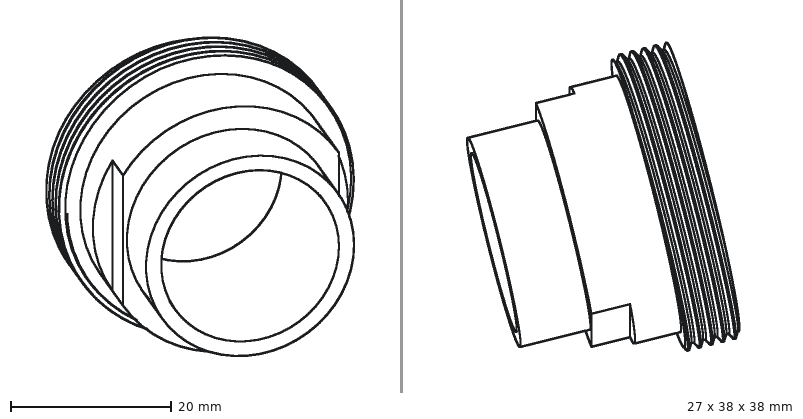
import cadquery as cq
import math

total_length = 27.0
thread_length = 7.1
body_end = 18.0
flat_start = 13.05

thread_radius = 19.0
body_radius = 16.53
neck_radius = 13.5
bore_radius = 11.5
flat_offset = 14.0

four_turn_length = 6.0
pitch = four_turn_length / 4
thread_depth = 0.8
root_width = pitch / 4
flank_angle = math.radians(30)
cutter_overshoot = 0.05
seam_angle = 77


def cylinder(radius, start, end):
    """Solid cylinder about the X axis between two X positions."""
    return cq.Workplane("YZ", origin=(start, 0, 0)).circle(radius).extrude(end - start)


def thread_groove():
    """Helical groove cutter whose root crosses X = 0 on the +Y side."""
    turns = math.ceil(thread_length / pitch) + 2
    root_radius = thread_radius - thread_depth
    mouth_radius = thread_radius + cutter_overshoot
    half_root = root_width / 2
    half_mouth = half_root + (mouth_radius - root_radius) * math.tan(flank_angle)
    profile = [
        (root_radius, -half_root),
        (mouth_radius, -half_mouth),
        (mouth_radius, half_mouth),
        (root_radius, half_root),
    ]
    helices = [
        cq.Wire.makeHelix(pitch, turns * pitch, radius).translate(cq.Vector(0, 0, height - pitch))
        for radius, height in profile
    ]
    faces = []
    for index, helix in enumerate(helices):
        following = helices[(index + 1) % len(helices)]
        faces.extend(cq.Face.makeRuledSurface(helix, following).Faces())
    for end in (0, 1):
        corners = [helix.positionAt(end) for helix in helices]
        faces.append(cq.Face.makeFromWires(cq.Wire.makePolygon(corners, close=True)))
    groove = cq.Solid.makeSolid(cq.Shell.makeShell(faces))
    return groove.moved(cq.Location(cq.Plane.named("YZ")))


def wrench_flat(side):
    """Block that cuts a flat into the +Y (side = 1) or -Y (side = -1) of the body."""
    depth = body_radius - flat_offset
    length = body_end - flat_start
    center = ((flat_start + body_end) / 2, side * (flat_offset + depth / 2), 0)
    return cq.Workplane("XY").box(length, depth, 2 * body_radius).translate(center)


blank = cylinder(thread_radius, 0, thread_length).rotate((0, 0, 0), (1, 0, 0), seam_angle)
flange = blank.cut(cq.Workplane(obj=thread_groove()))

body = cylinder(body_radius, 0, body_end)
for side in (-1, 1):
    body = body.cut(wrench_flat(side))
neck = cylinder(neck_radius, 0, total_length)

result = flange.union(body).union(neck).cut(cylinder(bore_radius, 0, total_length))